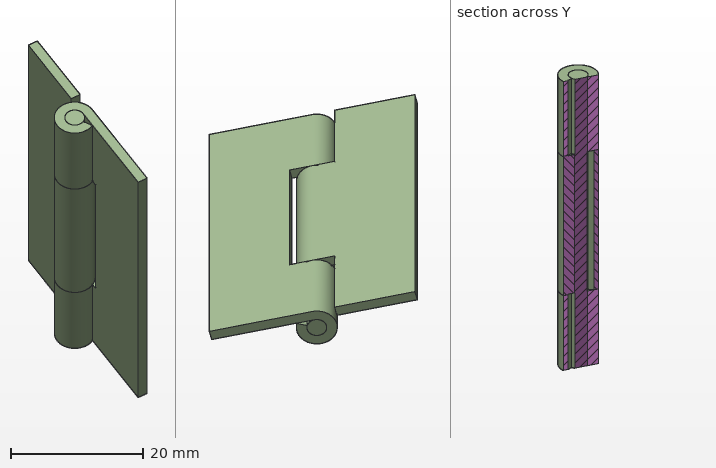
import cadquery as cq
import math

height = 50.0
open_width = 32.0
leaf_thickness = 1.6
pin_radius = 1.5
middle_knuckle_height = 24.0
notch_reach = 3.5
curl_end_angle = 28.0

half_width = open_width / 2
knuckle_radius = pin_radius + leaf_thickness
end_knuckle_height = (height - middle_knuckle_height) / 2
bottom = -height / 2
middle_bottom = bottom + end_knuckle_height
middle_top = middle_bottom + middle_knuckle_height
top = bottom + height


def polar(radius, degrees):
    angle = math.radians(degrees)
    return (radius * math.cos(angle), radius * math.sin(angle))


def extrude_between(sketch, z_start, z_end):
    """Extrude an XY sketch upward from z_start to z_end."""
    return sketch.extrude(z_end - z_start).translate((0, 0, z_start))


def make_plate():
    """Flat part of the right leaf, outside the notches."""
    sketch = cq.Workplane("XY").moveTo(notch_reach, pin_radius)
    sketch = sketch.lineTo(half_width, pin_radius).lineTo(half_width, knuckle_radius)
    sketch = sketch.lineTo(notch_reach, knuckle_radius).close()
    return extrude_between(sketch, bottom, top)


def make_knuckle(z_start, z_end):
    """Strip that leaves the right plate and rolls counterclockwise around the pin."""
    curl_middle_angle = (90 + 360 + curl_end_angle) / 2
    sketch = (
        cq.Workplane("XY")
        .moveTo(notch_reach, knuckle_radius)
        .lineTo(0, knuckle_radius)
        .threePointArc(polar(knuckle_radius, curl_middle_angle), polar(knuckle_radius, curl_end_angle))
        .lineTo(*polar(pin_radius, curl_end_angle))
        .threePointArc(polar(pin_radius, curl_middle_angle), (0, pin_radius))
        .lineTo(notch_reach, pin_radius)
        .close()
    )
    return extrude_between(sketch, z_start, z_end)


def make_leaf(knuckle_spans):
    """Right-hand leaf with one knuckle for each (bottom, top) span."""
    leaf = make_plate()
    for z_start, z_end in knuckle_spans:
        leaf = leaf.union(make_knuckle(z_start, z_end))
    return leaf.clean().solids()


def make_pin():
    return extrude_between(cq.Workplane("XY").circle(pin_radius), bottom, top)


right_leaf = make_leaf([(bottom, middle_bottom), (middle_top, top)])
left_leaf = make_leaf([(middle_bottom, middle_top)]).mirror("YZ")
pin = make_pin()

result = cq.Compound.makeCompound([right_leaf.val(), left_leaf.val(), pin.val()])